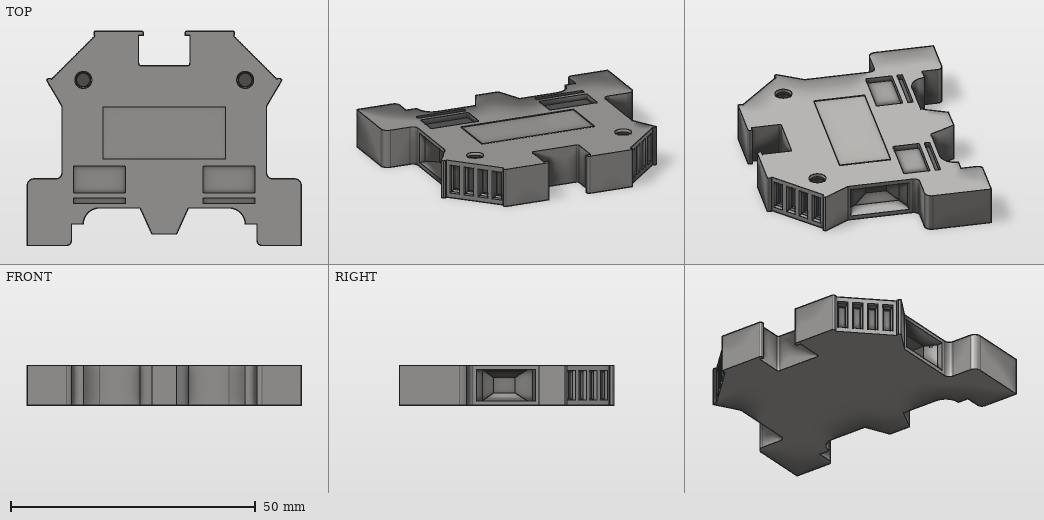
import cadquery as cq
import math

width = 56.0
height = 43.8
thickness = 8.1
half_width = width / 2
mid_z = thickness / 2

foot_top_y = 13.65
foot_outer_radius = 1.45
foot_body_radius = 1.25
foot_inner_x = 18.9
foot_inner_radius = 1.05
step_y = 4.35
arch_radius = 3.3
arch_x = 16.5
arch_top_y = step_y + arch_radius

tongue_root_x = 4.9
tongue_tip_x = 2.5
tongue_tip_y = 2.35

body_x = 20.9
flare_start_y = 28.45
flare_tip_x = 24.0
flare_tip_y = 33.75
barb_top_y = 34.15
barb_outer_x = 23.7
barb_inner_x = 23.25
slope_low_x = 23.0
slope_low_y = 33.95
slope_rise = 8.85
slope_high_x = slope_low_x - slope_rise
slope_high_y = slope_low_y + slope_rise
head_x = 14.35
head_edge_y = 42.95
head_corner = 0.3

notch_x = 5.2
notch_floor_y = 36.75
notch_radius = 0.45
lip_x = 4.25
lip_bottom_y = 42.9
lip_radius = 0.4

hole_x = 16.5
hole_y = 33.8
hole_mouth_diameter = 3.5
hole_upper_diameter = 2.95
hole_lower_diameter = 2.75
hole_cone_depth = 0.55
hole_upper_depth = 1.0
hole_depth = mid_z

label_width = 25.1
label_bottom_y = 17.7
label_top_y = 28.35
label_depth = 0.15
recess_x = 13.2
recess_width = 10.65
recess_depth = 1.1
window_bottom_y = 10.75
window_top_y = 16.25
window_radius = 0.35
slit_bottom_y = 8.55
slit_top_y = 9.7
slit_radius = 0.2

entry_low_y = 15.7
entry_high_y = 27.8
entry_straight_depth = 2.8
entry_corner_y = 27.15
entry_corner_depth = 3.25
entry_bevel_depth = 1.25
entry_neck_low_y = 16.9
entry_neck_depth = 3.85
entry_floor_low_y = 19.2
entry_floor_high_y = 23.6
entry_depth = 5.45
entry_height = 6.4
entry_floor_height = 3.15
entry_mid_z = 4.1

slot_count = 4
slot_width = 2.1
slot_length = 6.05
slot_first_y = 41.8
slot_pitch_y = 2.2
slot_outer_depth = 0.95
slot_taper = 0.35
slot_depth = 1.95


def mirrored(solid):
    """The solid together with its mirror image across X = 0."""
    return solid.union(solid.mirror("YZ"))


def fillet_corner(solid, x, y, radius):
    """Round the vertical edge that passes through (x, y)."""
    corner = cq.selectors.NearestToPointSelector((x, y, mid_z))
    return solid.edges("|Z").edges(corner).fillet(radius)


def left_half():
    """Plan outline left of X = 0, extruded and rounded at its corners."""
    arch_diagonal = arch_radius * math.sqrt(0.5)
    arch_center_x = arch_x - arch_radius
    half = (
        cq.Workplane("XY")
        .moveTo(0, tongue_tip_y)
        .lineTo(-tongue_tip_x, tongue_tip_y)
        .lineTo(-tongue_root_x, arch_top_y)
        .lineTo(-arch_center_x, arch_top_y)
        .threePointArc((-arch_center_x - arch_diagonal, step_y + arch_diagonal), (-arch_x, step_y))
        .lineTo(-foot_inner_x, step_y)
        .lineTo(-foot_inner_x, 0)
        .lineTo(-half_width, 0)
        .lineTo(-half_width, foot_top_y)
        .lineTo(-body_x, foot_top_y)
        .lineTo(-body_x, flare_start_y)
        .lineTo(-flare_tip_x, flare_tip_y)
        .lineTo(-barb_outer_x, barb_top_y)
        .lineTo(-barb_inner_x, barb_top_y)
        .lineTo(-slope_low_x, slope_low_y)
        .lineTo(-slope_high_x, slope_high_y)
        .lineTo(-head_x, head_edge_y)
        .lineTo(-head_x, height)
        .lineTo(-lip_x, height)
        .lineTo(-lip_x, lip_bottom_y)
        .lineTo(-notch_x, lip_bottom_y)
        .lineTo(-notch_x, notch_floor_y)
        .lineTo(0, notch_floor_y)
        .close()
        .extrude(thickness)
    )
    rounded_corners = [
        (-half_width, foot_top_y, foot_outer_radius),
        (-body_x, foot_top_y, foot_body_radius),
        (-foot_inner_x, 0, foot_inner_radius),
        (-head_x, height, head_corner),
        (-lip_x, height, lip_radius),
        (-notch_x, notch_floor_y, notch_radius),
    ]
    for x, y, radius in rounded_corners:
        half = fillet_corner(half, x, y, radius)
    return half


def screw_hole():
    """Stepped blind hole revolved about its own vertical axis."""
    return (
        cq.Workplane("XZ")
        .moveTo(0, 0)
        .lineTo(hole_mouth_diameter / 2, 0)
        .lineTo(hole_upper_diameter / 2, -hole_cone_depth)
        .lineTo(hole_upper_diameter / 2, -hole_upper_depth)
        .lineTo(hole_lower_diameter / 2, -hole_upper_depth)
        .lineTo(hole_lower_diameter / 2, -hole_depth)
        .lineTo(0, -hole_depth)
        .close()
        .revolve(360, (0, 0, 0), (0, 1, 0))
        .translate((-hole_x, hole_y, thickness))
    )


def top_recess(x, size_x, bottom_y, top_y, depth):
    """Rectangular pocket sunk into the top face."""
    return (
        cq.Workplane("XY", origin=(x, (bottom_y + top_y) / 2, thickness - depth))
        .rect(size_x, top_y - bottom_y)
        .extrude(depth)
    )


def wire_entry():
    """Funnel: its plan outline cut down by a profile that narrows in height."""
    plan = (
        cq.Workplane("XY")
        .moveTo(-body_x, entry_low_y)
        .lineTo(-body_x, entry_high_y)
        .lineTo(-body_x + entry_straight_depth, entry_high_y)
        .tangentArcPoint((-body_x + entry_corner_depth, entry_corner_y), relative=False)
        .lineTo(-body_x + entry_depth, entry_floor_high_y)
        .lineTo(-body_x + entry_depth, entry_floor_low_y)
        .lineTo(-body_x + entry_neck_depth, entry_neck_low_y)
        .lineTo(-body_x + entry_bevel_depth, entry_low_y)
        .close()
        .extrude(thickness)
    )
    half_mouth = entry_height / 2
    half_floor = entry_floor_height / 2
    side_profile = (
        cq.Workplane("XZ", origin=(-body_x, entry_high_y, entry_mid_z))
        .moveTo(0, -half_mouth)
        .lineTo(entry_neck_depth, -half_mouth)
        .lineTo(entry_depth, -half_floor)
        .lineTo(entry_depth, half_floor)
        .lineTo(entry_neck_depth, half_mouth)
        .lineTo(0, half_mouth)
        .close()
        .extrude(entry_high_y - entry_low_y)
    )
    return plan.intersect(side_profile)


def edge_slot(center_y):
    """Slot entering square to the sloping edge, with a tapered step to a smaller inner slot."""
    center_x = -slope_low_x + (center_y - slope_low_y)
    surface = cq.Plane(origin=(center_x, center_y, mid_z), xDir=(0, 0, 1), normal=(1, -1, 0))
    inner_length = slot_length - 2 * slot_taper
    inner_width = slot_width - 2 * slot_taper
    outer = cq.Workplane(surface).rect(slot_length, slot_width).extrude(slot_outer_depth)
    taper = (
        cq.Workplane(surface)
        .workplane(offset=slot_outer_depth)
        .rect(slot_length, slot_width)
        .workplane(offset=slot_taper)
        .rect(inner_length, inner_width)
        .loft()
    )
    inner = cq.Workplane(surface).rect(inner_length, inner_width).extrude(slot_depth)
    return outer.union(taper).union(inner)


window = top_recess(-recess_x, recess_width, window_bottom_y, window_top_y, recess_depth)
slit = top_recess(-recess_x, recess_width, slit_bottom_y, slit_top_y, recess_depth)

half = left_half()
half = half.cut(screw_hole())
half = half.cut(window.edges("|Z").fillet(window_radius))
half = half.cut(slit.edges("|Z").fillet(slit_radius))
half = half.cut(wire_entry())
for index in range(slot_count):
    half = half.cut(edge_slot(slot_first_y - index * slot_pitch_y))

label = top_recess(0, label_width, label_bottom_y, label_top_y, label_depth)
result = mirrored(half).cut(label)